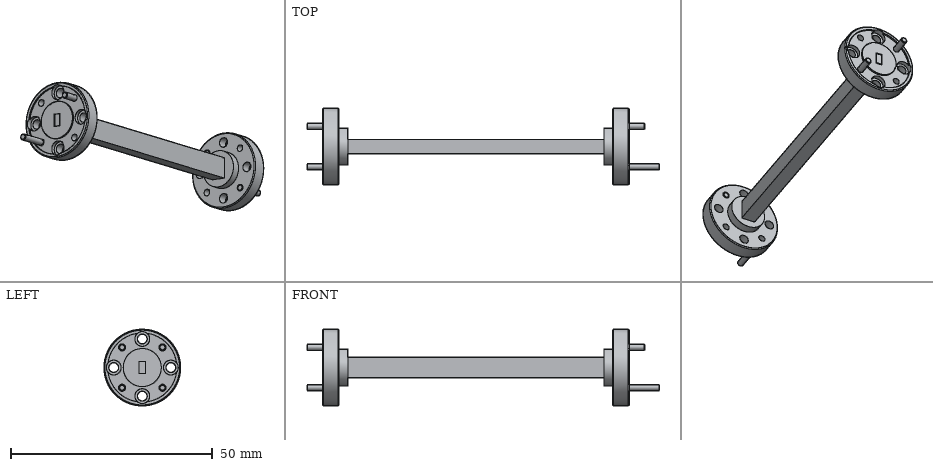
import cadquery as cq
import math

face_to_face = 76.1

tube_y = 3.6
tube_z = 5.2

aperture_y = 1.6
aperture_z = 3.1
aperture_depth = 0.3

flange_diameter = 19.1
flange_thickness = 4.1
flange_chamfer = 0.3
hub_diameter = 9.2
hub_length = 2.2

boss_diameter = 9.45
rim_inner_diameter = 17.15
recess_depth = 0.4

hole_circle_radius = 7.1
screw_hole_diameter = 2.4
counterbore_diameter = 3.7
counterbore_depth = 1.5

pin_diameter = 1.6
pin_hole_diameter = 1.7
pin_chamfer = 0.2
pin_projection = 3.85
far_pin_projection = 7.5
pin_length = flange_thickness + pin_projection

half_length = face_to_face / 2
inner_face_x = half_length - flange_thickness


def cylinder(diameter, start_x, length, center=(0, 0)):
    """Cylinder along +X from start_x, with its axis at center = (y, z)."""
    return (
        cq.Workplane("YZ", origin=(start_x, 0, 0))
        .center(*center)
        .circle(diameter / 2)
        .extrude(length)
    )


def circle_points(first_angle):
    """Four (y, z) points, a quarter turn apart, on the hole circle."""
    angles = [math.radians(first_angle + 90 * turn) for turn in range(4)]
    return [
        (hole_circle_radius * math.cos(angle), hole_circle_radius * math.sin(angle))
        for angle in angles
    ]


def face_recess():
    """Ring-shaped cutter for the outer face of the +X flange."""
    floor_x = half_length - recess_depth
    recess = cylinder(rim_inner_diameter, floor_x, recess_depth)
    return recess.cut(cylinder(boss_diameter, floor_x, recess_depth))


def screw_hole(center):
    """Cutter for a screw hole counterbored from the outer face of the +X flange."""
    hole = cylinder(screw_hole_diameter, inner_face_x, flange_thickness, center)
    floor_x = half_length - counterbore_depth
    return hole.union(cylinder(counterbore_diameter, floor_x, counterbore_depth, center))


def make_flange():
    """Flange at the +X end, with its hub toward the middle of the tube."""
    flange = cylinder(flange_diameter, inner_face_x, flange_thickness)
    flange = flange.faces("<X or >X").chamfer(flange_chamfer)
    flange = flange.union(cylinder(hub_diameter, inner_face_x - hub_length, hub_length))
    flange = flange.cut(face_recess())
    for center in circle_points(0):
        flange = flange.cut(screw_hole(center))
    for center in circle_points(45):
        flange = flange.cut(cylinder(pin_hole_diameter, inner_face_x, flange_thickness, center))
    aperture = cq.Workplane("YZ", origin=(half_length, 0, 0)).rect(aperture_y, aperture_z)
    return flange.cut(aperture.extrude(-aperture_depth))


def make_body():
    """Tube and both flanges as one solid."""
    tube = cq.Workplane("YZ").rect(tube_y, tube_z).extrude(inner_face_x, both=True)
    flange = make_flange()
    return tube.union(flange).union(flange.mirror("YZ"))


def make_pin(start_x, y, z):
    """Pin along X with both ends chamfered, starting at start_x."""
    pin = cylinder(pin_diameter, start_x, pin_length, (y, z))
    return pin.faces("<X or >X").chamfer(pin_chamfer)


pin_offset = hole_circle_radius / math.sqrt(2)
left_start_x = -half_length - pin_projection
far_start_x = half_length + far_pin_projection - pin_length
pin_starts = [
    (left_start_x, pin_offset, -pin_offset),
    (left_start_x, -pin_offset, pin_offset),
    (inner_face_x, pin_offset, pin_offset),
    (far_start_x, -pin_offset, -pin_offset),
]

body = make_body()
pins = [make_pin(x, y, z) for x, y, z in pin_starts]
result = cq.Compound.makeCompound([body.val(), *[pin.val() for pin in pins]])